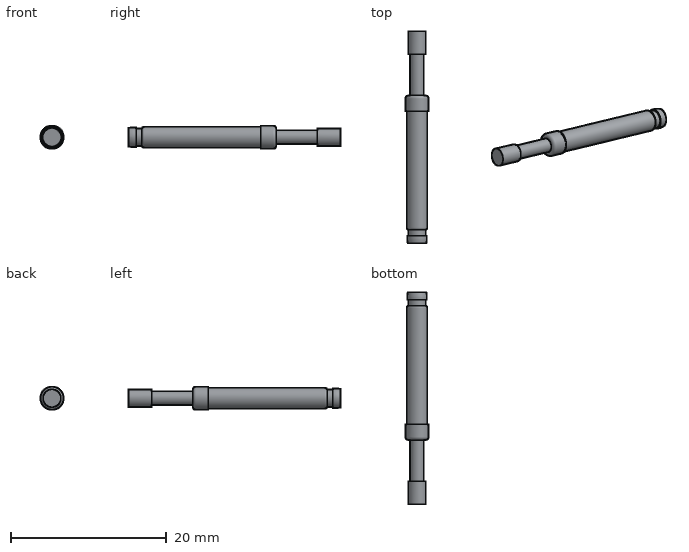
import cadquery as cq
import math

total_length = 27.3

head_diameter = 2.3
stem_diameter = 1.8
collar_diameter = 3.0
body_diameter = 2.7
groove_diameter = 2.3
tip_diameter = 2.57
tip_face_diameter = 2.4

head_length = 3.0
stem_length = 5.27
collar_length = 2.02
groove_length = 0.75
tip_length = 1.0
tip_straight_length = 0.4

collar_fillet = 0.4
body_fillet = 0.27

back_y = -total_length / 2
front_y = total_length / 2
tip_front_y = back_y + tip_length
body_back_y = tip_front_y + groove_length
head_back_y = front_y - head_length
collar_front_y = head_back_y - stem_length
collar_back_y = collar_front_y - collar_length


def cylinder(diameter, start_y, end_y):
    """Cylinder on the Y axis from start_y up to end_y."""
    circle = cq.Workplane("XZ", origin=(0, start_y, 0)).circle(diameter / 2)
    return circle.extrude(start_y - end_y)


def make_tip():
    """Straight band followed by a tangent arc narrowing to the flat end face."""
    tip_radius = tip_diameter / 2
    face_radius = tip_face_diameter / 2
    round_y = tip_front_y - tip_straight_length
    round_length = round_y - back_y
    drop = tip_radius - face_radius
    arc_radius = (round_length**2 + drop**2) / (2 * drop)
    middle_y = round_y - round_length / 2
    middle_radius = tip_radius - arc_radius + math.sqrt(arc_radius**2 - (round_length / 2) ** 2)
    profile = (
        cq.Workplane("XY")
        .moveTo(0, back_y)
        .lineTo(face_radius, back_y)
        .threePointArc((middle_radius, middle_y), (tip_radius, round_y))
        .lineTo(tip_radius, tip_front_y)
        .lineTo(0, tip_front_y)
        .close()
    )
    return profile.revolve(360, (0, 0, 0), (0, 1, 0))


tip = make_tip()
groove = cylinder(groove_diameter, tip_front_y, body_back_y)
body = cylinder(body_diameter, body_back_y, collar_back_y).faces("<Y").edges().fillet(body_fillet)
collar = cylinder(collar_diameter, collar_back_y, collar_front_y).faces(">Y").edges().fillet(collar_fillet)
stem = cylinder(stem_diameter, collar_front_y, head_back_y)
head = cylinder(head_diameter, head_back_y, front_y)

result = tip.union(groove).union(body).union(collar).union(stem).union(head)